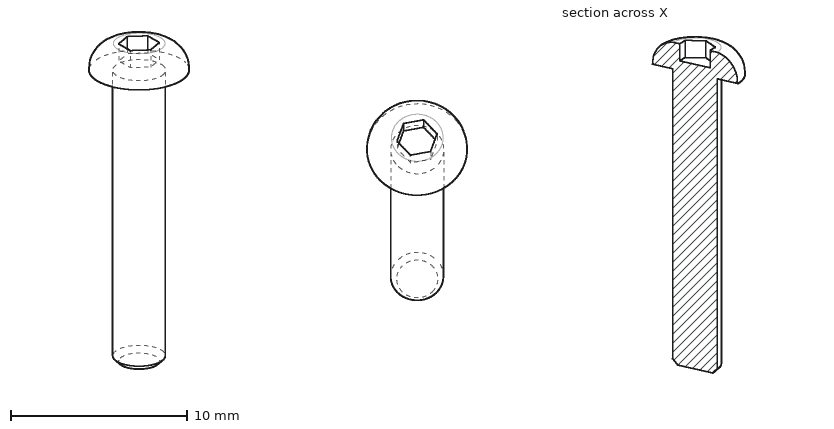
import cadquery as cq
import math

total_length = 19.65
head_diameter = 5.7
head_height = 1.65
head_flat_diameter = 2.93
dome_center_height = 0.1
shank_diameter = 3.0
tip_chamfer = 0.33
socket_across_flats = 2.0
socket_depth = 1.05

head_radius = head_diameter / 2
flat_radius = head_flat_diameter / 2
shank_length = total_length - head_height


def make_head():
    """Domed head: a single arc from the rim to the flat top, turned about Z."""
    dome_rise = head_height - dome_center_height
    dome_width = head_radius - flat_radius
    dome_center = (head_radius + flat_radius) / 2 + (dome_center_height**2 - dome_rise**2) / (2 * dome_width)
    dome_radius = math.hypot(head_radius - dome_center, dome_center_height)
    diagonal_reach = dome_radius * math.sqrt(0.5)
    dome_middle = (dome_center + diagonal_reach, dome_center_height + diagonal_reach)
    return (
        cq.Workplane("XZ")
        .lineTo(head_radius, 0)
        .threePointArc(dome_middle, (flat_radius, head_height))
        .lineTo(0, head_height)
        .close()
        .revolve(360, (0, 0, 0), (0, 1, 0))
    )


def make_shank():
    """Plain shank below the head, with a chamfered tip."""
    return (
        cq.Workplane("XY")
        .circle(shank_diameter / 2)
        .extrude(-shank_length)
        .faces("<Z")
        .chamfer(tip_chamfer)
    )


def make_socket():
    """Hexagonal key socket with two corners on the X axis."""
    across_corners = socket_across_flats / math.cos(math.pi / 6)
    return (
        cq.Workplane("XY")
        .workplane(offset=head_height)
        .polygon(6, across_corners)
        .extrude(-socket_depth)
    )


result = make_head().union(make_shank()).cut(make_socket())